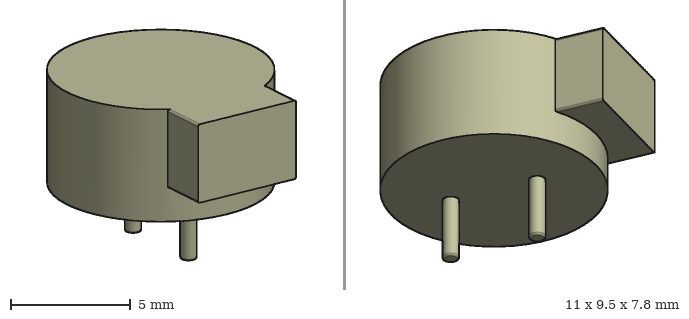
import cadquery as cq

overall_length = 11.0
overall_height = 7.8

can_diameter = 9.5
can_height = 5.0
outlet_width = 5.0
outlet_height = 3.5
outlet_edge_radius = 0.1
outlet_inner_x = 3.26

pin_diameter = 0.7
pin_pitch = 4.0
pin_tip_radius = 0.1

can_radius = can_diameter / 2
outlet_end_x = overall_length - can_radius
pin_length = overall_height - can_height


def make_outlet():
    """Block flush with the top of the can, with its long edges rounded."""
    return (
        cq.Workplane("XY")
        .box(outlet_end_x - outlet_inner_x, outlet_width, outlet_height, centered=(False, True, False))
        .edges("|X")
        .fillet(outlet_edge_radius)
        .translate((outlet_inner_x, 0, can_height - outlet_height))
    )


def make_housing():
    """Can and sound outlet in one piece."""
    can = cq.Workplane("XY").circle(can_radius).extrude(can_height)
    return can.union(make_outlet())


def make_pin(x):
    """Round pin hanging from the underside of the can, with a rounded tip."""
    return (
        cq.Workplane("XY")
        .center(x, 0)
        .circle(pin_diameter / 2)
        .extrude(-pin_length)
        .faces("<Z")
        .edges()
        .fillet(pin_tip_radius)
    )


housing = make_housing()
pins = [make_pin(side * pin_pitch / 2) for side in (-1, 1)]

result = cq.Compound.makeCompound([housing.val(), *[pin.val() for pin in pins]])